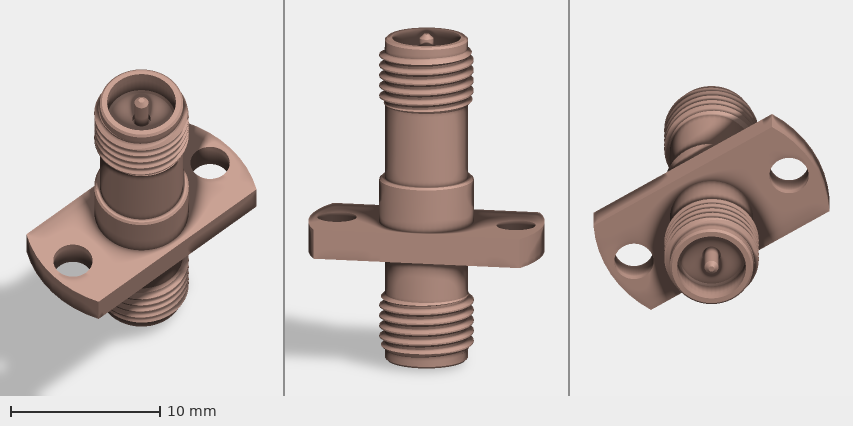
import cadquery as cq
import math


flange_width = 7.37
flange_diameter = 15.88
flange_thickness = 2.0
mount_hole_diameter = 2.64
mount_hole_spacing = 12.22

barrel_radius = 2.8
barrel_top = 14.73
barrel_bottom = -7.53
barrel_end_chamfer = 0.14

collar_radius = 3.175
collar_top = 5.07
collar_chamfer = 0.13

thread_radius = 3.175
thread_pitch = 25.4 / 36
thread_length = 3.84
thread_crest_width = 0.1
thread_half_angle = math.radians(30)
thread_root_overlap = 0.1
plain_end_length = 0.74

bore_radius = 2.31
bore_depth = 1.95
bore_floor_radius = 2.15
bore_floor_bevel = 0.1
pin_radius = 0.47
pin_tip_radius = 0.19
overall_length = 22.73
pin_clearance_radius = 0.61
pin_clearance_depth = 0.5

pin_protrusion = (overall_length - (barrel_top - barrel_bottom)) / 2


def make_flange():
    disc = cq.Workplane("XY").circle(flange_diameter / 2).extrude(flange_thickness)
    bar = cq.Workplane("XY").rect(flange_width, flange_diameter).extrude(flange_thickness)
    holes = (
        cq.Workplane("XY")
        .pushPoints([(0, -mount_hole_spacing / 2), (0, mount_hole_spacing / 2)])
        .circle(mount_hole_diameter / 2)
        .extrude(flange_thickness)
    )
    return disc.intersect(bar).cut(holes)


def make_barrel():
    return (
        cq.Workplane("XY")
        .workplane(offset=barrel_bottom)
        .circle(barrel_radius)
        .extrude(barrel_top - barrel_bottom)
        .faces("<Z or >Z")
        .chamfer(barrel_end_chamfer)
    )


def make_collar():
    return (
        cq.Workplane("XY")
        .workplane(offset=flange_thickness)
        .circle(collar_radius)
        .extrude(collar_top - flange_thickness)
        .faces(">Z")
        .chamfer(collar_chamfer)
    )


def make_thread():
    """Thread rising from Z = 0, with a crest on the +X side there and both ends beveled at 45 degrees."""
    ridge_height = thread_radius - barrel_radius
    base_radius = barrel_radius - thread_root_overlap
    crest_half = thread_crest_width / 2
    apex_radius = thread_radius + crest_half / math.tan(thread_half_angle)
    base_half = (apex_radius - base_radius) * math.tan(thread_half_angle)
    extra_turns = 1
    start = -extra_turns * thread_pitch
    turns = math.ceil(thread_length / thread_pitch) + 2 * extra_turns
    path = cq.Wire.makeHelix(
        thread_pitch, turns * thread_pitch, barrel_radius, center=cq.Vector(0, 0, start)
    )
    ridge = (
        cq.Workplane("XZ")
        .moveTo(base_radius, start - base_half)
        .lineTo(apex_radius, start)
        .lineTo(base_radius, start + base_half)
        .close()
        .sweep(cq.Workplane(obj=path), isFrenet=True)
    )
    seam_angle = 77
    blank = (
        cq.Workplane("XZ")
        .moveTo(0, 0)
        .lineTo(barrel_radius, 0)
        .lineTo(thread_radius, ridge_height)
        .lineTo(thread_radius, thread_length - ridge_height)
        .lineTo(barrel_radius, thread_length)
        .lineTo(0, thread_length)
        .close()
        .revolve(360, (0, 0), (0, 1))
        .rotate((0, 0, 0), (0, 0, 1), seam_angle)
    )
    return ridge.intersect(blank)


def make_bore():
    """Socket bore below an end face at Z = 0, with a clearance well around the pin."""
    well_floor = -bore_depth - pin_clearance_depth
    return (
        cq.Workplane("XZ")
        .moveTo(0, well_floor)
        .lineTo(pin_clearance_radius, well_floor)
        .lineTo(pin_clearance_radius, -bore_depth)
        .lineTo(bore_floor_radius, -bore_depth)
        .lineTo(bore_radius, bore_floor_bevel - bore_depth)
        .lineTo(bore_radius, 0)
        .lineTo(0, 0)
        .close()
        .revolve(360, (0, 0), (0, 1))
    )


def make_pin():
    """Pin with a 45 degree tip that stands proud of an end face at Z = 0."""
    tip_height = pin_radius - pin_tip_radius
    pin_root = -bore_depth - pin_clearance_depth
    return (
        cq.Workplane("XZ")
        .moveTo(0, pin_root)
        .lineTo(pin_radius, pin_root)
        .lineTo(pin_radius, pin_protrusion - tip_height)
        .lineTo(pin_tip_radius, pin_protrusion)
        .lineTo(0, pin_protrusion)
        .close()
        .revolve(360, (0, 0), (0, 1))
    )


def place_on_ends(shape, inset=0):
    """Copies of a shape at the two barrel ends, facing outward and set in from the end faces."""
    upper = shape.translate((0, 0, barrel_top - inset))
    lower = shape.rotate((0, 0, 0), (1, 0, 0), 180).translate((0, 0, barrel_bottom + inset))
    return [upper, lower]


result = make_barrel().union(make_flange()).union(make_collar())

for bore in place_on_ends(make_bore()):
    result = result.cut(bore)

for pin in place_on_ends(make_pin()):
    result = result.union(pin)

for thread in place_on_ends(make_thread(), plain_end_length + thread_length):
    result = result.union(thread)